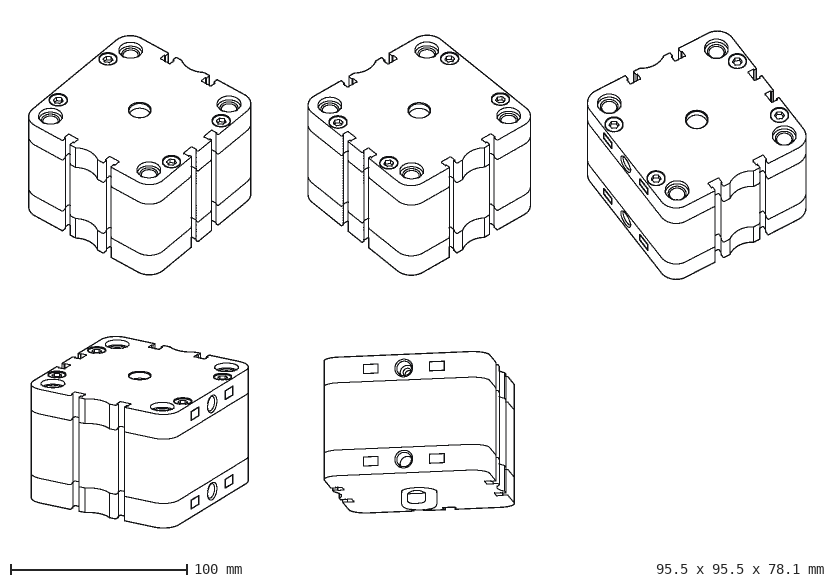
import cadquery as cq
import math

WIDTH = 95.5
CORNER_RADIUS = 10.0
CAP_HEIGHT = 15.0
BARREL_HEIGHT = 39.2
ROD_EXTENSION = 8.9
BARREL_BOTTOM = CAP_HEIGHT
UPPER_CAP_BOTTOM = BARREL_BOTTOM + BARREL_HEIGHT
TOP = UPPER_CAP_BOTTOM + CAP_HEIGHT
HALF_WIDTH = WIDTH / 2
BORE_DIAMETER = 80.0

FACE_SLOT_OFFSET = 15.0
FACE_SLOT_MOUTH = 5.4
FACE_SLOT_LIP = 2.9
FACE_SLOT_WIDTH = 7.1
FACE_SLOT_DEPTH = 6.6

SIDE_SLOT_OFFSET = 9.1
SIDE_SLOT_MOUTH = 5.6
SIDE_SLOT_LIP = 1.6
SIDE_SLOT_WIDTH = 7.2
SIDE_SLOT_DEPTH = 5.4

SLOT_FILLET = 0.4

SCALLOP_WIDTH = 16.0
SCALLOP_DEPTH = 2.7
SCALLOP_RADIUS = (SCALLOP_WIDTH**2 / 4 + SCALLOP_DEPTH**2) / (2 * SCALLOP_DEPTH)
BARREL_SCALLOP_FILLET = 0.7

MOUNT_OFFSET = 36.0
MOUNT_COUNTERBORE_DIAMETER = 13.5
MOUNT_COUNTERBORE_DEPTH = 3.0
MOUNT_CHAMFER_DIAMETER = 10.1
MOUNT_HOLE_DIAMETER = 8.6

SCREW_OFFSET_X = 41.4
SCREW_OFFSET_Y = 22.3
SCREW_RECESS_DIAMETER = 10.3
SCREW_RECESS_DEPTH = 0.8
SCREW_HEAD_DIAMETER = 9.8
SCREW_HEAD_CHAMFER = (SCREW_RECESS_DIAMETER - SCREW_HEAD_DIAMETER) / 2
HEAD_CHAMFER_ANGLE = 45
SOCKET_SIDES = 6
SOCKET_ACROSS_FLATS = 4.8
SOCKET_DEPTH = 2.6
SOCKET_BOTTOM = SCREW_RECESS_DEPTH - SCREW_HEAD_CHAMFER + SOCKET_DEPTH

CENTRE_RECESS_DIAMETER = 12.0
CENTRE_RECESS_RIM = 13.0
CENTRE_RECESS_DEPTH = 4.0

PORT_HEIGHT = 8.0
PORT_RIM = 10.3
PORT_DIAMETER = 8.4
PORT_DEPTH = 11.5
AIR_HOLE_DIAMETER = 5.0
AIR_HOLE_DEPTH = 5.7

LABEL_OFFSET = 19.1
LABEL_EDGE_DISTANCE = 7.6
LABEL_LENGTH = 8.5
LABEL_WIDTH = 5.3
LABEL_DEPTH = 0.3

ROD_DIAMETER = 20.0
ROD_END_FILLET = 1.9
ROD_ACROSS_FLATS = 17.0
ROD_FLAT_LENGTH = 5.8


def t_slot(centre, turn, mouth, lip, width, depth, height):
    """T-slot cutter for the +Y face, `centre` along that face, then turned about Z."""
    neck = cq.Workplane("XY").box(mouth, depth, height, centered=(True, False, False))
    neck = neck.translate((centre, HALF_WIDTH - depth, 0))
    head = cq.Workplane("XY").box(width, depth - lip, height, centered=(True, False, False))
    head = head.edges("|Z and <Y").fillet(SLOT_FILLET)
    head = head.translate((centre, HALF_WIDTH - depth, 0))
    flare_width = mouth + 2 * SLOT_FILLET
    flare = cq.Workplane("XY").box(flare_width, SLOT_FILLET, height, centered=(True, False, False))
    lip_rounds = cq.Workplane("XY").pushPoints([(-flare_width / 2, 0), (flare_width / 2, 0)])
    flare = flare.cut(lip_rounds.circle(SLOT_FILLET).extrude(height))
    flare = flare.translate((centre, HALF_WIDTH - SLOT_FILLET, 0))
    return neck.union(head).union(flare).rotate((0, 0, 0), (0, 0, 1), turn)


def scallop(side, height):
    """Round groove cutter for the front (side = -1) or back (side = 1) face."""
    axis = side * (HALF_WIDTH - SCALLOP_DEPTH + SCALLOP_RADIUS)
    return cq.Workplane("XY").center(0, axis).circle(SCALLOP_RADIUS).extrude(height)


def profile_block(bottom, height, scallop_fillet=0):
    """Length of the common outer profile: rounded square, T-slots and scallops."""
    block = cq.Workplane("XY").rect(WIDTH, WIDTH).extrude(height).edges("|Z").fillet(CORNER_RADIUS)
    for side in (-1, 1):
        block = block.cut(scallop(side, height))
    if scallop_fillet:
        scallop_zone = cq.selectors.BoxSelector((-SCALLOP_WIDTH, -WIDTH, 0), (SCALLOP_WIDTH, WIDTH, height))
        block = block.edges("|Z").edges(scallop_zone).fillet(scallop_fillet)
    for centre in (-FACE_SLOT_OFFSET, FACE_SLOT_OFFSET):
        for turn in (0, 180):
            block = block.cut(t_slot(centre, turn, FACE_SLOT_MOUTH, FACE_SLOT_LIP,
                                     FACE_SLOT_WIDTH, FACE_SLOT_DEPTH, height))
    for centre in (-SIDE_SLOT_OFFSET, SIDE_SLOT_OFFSET):
        block = block.cut(t_slot(centre, -90, SIDE_SLOT_MOUTH, SIDE_SLOT_LIP,
                                 SIDE_SLOT_WIDTH, SIDE_SLOT_DEPTH, height))
    return block.translate((0, 0, bottom))


def chamfered_hole(rim, diameter, depth):
    """Cutter for a hole going down from Z = 0 with a 45 degree chamfer at its mouth."""
    chamfer = (rim - diameter) / 2
    half_section = [
        (0, 0),
        (rim / 2, 0),
        (diameter / 2, -chamfer),
        (diameter / 2, -depth),
        (0, -depth),
    ]
    return cq.Workplane("XZ").polyline(half_section).close().revolve(360, (0, 0, 0), (0, 1, 0))


def port(height):
    """Threaded port cutter entering the -X face at the given height."""
    hole = chamfered_hole(PORT_RIM, PORT_DIAMETER, PORT_DEPTH)
    return hole.rotate((0, 0, 0), (0, 1, 0), -90).translate((-HALF_WIDTH, 0, height))


def label_pockets(height):
    """Pair of label pocket cutters in the -X face at the given height."""
    pockets = cq.Workplane("YZ").pushPoints([(-LABEL_OFFSET, height), (LABEL_OFFSET, height)])
    return pockets.rect(LABEL_LENGTH, LABEL_WIDTH).extrude(LABEL_DEPTH).translate((-HALF_WIDTH, 0, 0))


def mounting_hole():
    """Counterbored hole cutter from the top face down through the upper cap."""
    counterbore = cq.Workplane("XY").circle(MOUNT_COUNTERBORE_DIAMETER / 2).extrude(-MOUNT_COUNTERBORE_DEPTH)
    hole = chamfered_hole(MOUNT_CHAMFER_DIAMETER, MOUNT_HOLE_DIAMETER, CAP_HEIGHT - MOUNT_COUNTERBORE_DEPTH)
    return counterbore.union(hole.translate((0, 0, -MOUNT_COUNTERBORE_DEPTH)))


def screw_recess():
    """Cutter that leaves a sunken, chamfered screw head with a hexagon socket."""
    recess = cq.Workplane("XY").circle(SCREW_RECESS_DIAMETER / 2).extrude(-SCREW_RECESS_DEPTH)
    head = cq.Workplane("XY").workplane(offset=-SCREW_RECESS_DEPTH)
    head = head.circle(SCREW_RECESS_DIAMETER / 2).extrude(SCREW_HEAD_CHAMFER, taper=HEAD_CHAMFER_ANGLE)
    socket_across_corners = SOCKET_ACROSS_FLATS / math.cos(math.pi / SOCKET_SIDES)
    socket = cq.Workplane("XY").polygon(SOCKET_SIDES, socket_across_corners).extrude(-SOCKET_BOTTOM)
    return recess.cut(head).union(socket.rotate((0, 0, 0), (0, 0, 1), 180 / SOCKET_SIDES))


def make_lower_cap():
    cap = profile_block(0, CAP_HEIGHT)
    cap = cap.cut(cq.Workplane("XY").circle(ROD_DIAMETER / 2).extrude(CAP_HEIGHT))
    return cap.cut(port(PORT_HEIGHT)).cut(label_pockets(LABEL_EDGE_DISTANCE))


def make_barrel():
    barrel = profile_block(BARREL_BOTTOM, BARREL_HEIGHT, BARREL_SCALLOP_FILLET)
    bore = cq.Workplane("XY").circle(BORE_DIAMETER / 2).extrude(TOP)
    return barrel.cut(bore)


def make_upper_cap():
    cap = profile_block(UPPER_CAP_BOTTOM, CAP_HEIGHT)
    for side_x in (-1, 1):
        for side_y in (-1, 1):
            cap = cap.cut(mounting_hole().translate((side_x * MOUNT_OFFSET, side_y * MOUNT_OFFSET, TOP)))
            cap = cap.cut(screw_recess().translate((side_x * SCREW_OFFSET_X, side_y * SCREW_OFFSET_Y, TOP)))
    centre_recess = chamfered_hole(CENTRE_RECESS_RIM, CENTRE_RECESS_DIAMETER, CENTRE_RECESS_DEPTH)
    cap = cap.cut(centre_recess.translate((0, 0, TOP)))
    cap = cap.cut(port(TOP - PORT_HEIGHT)).cut(label_pockets(TOP - LABEL_EDGE_DISTANCE))
    air_hole = cq.Workplane("YZ").circle(AIR_HOLE_DIAMETER / 2).extrude(PORT_DEPTH + AIR_HOLE_DEPTH)
    return cap.cut(air_hole.translate((-HALF_WIDTH, 0, TOP - PORT_HEIGHT)))


def make_rod():
    """Rod from the upper cap down through the lower cap, with two wrench flats at its end."""
    rod = cq.Workplane("XY").circle(ROD_DIAMETER / 2).extrude(ROD_EXTENSION + UPPER_CAP_BOTTOM)
    rod = rod.faces("<Z").edges().fillet(ROD_END_FILLET)
    flat = ROD_ACROSS_FLATS / 2
    overhang = ROD_DIAMETER - flat
    flat_section = [
        (flat, 0),
        (flat, ROD_FLAT_LENGTH),
        (flat + overhang, ROD_FLAT_LENGTH + overhang),
        (flat + overhang, 0),
    ]
    flat_cut = cq.Workplane("XZ").polyline(flat_section).close().extrude(ROD_DIAMETER / 2, both=True)
    rod = rod.cut(flat_cut).cut(flat_cut.mirror("YZ"))
    return rod.translate((0, 0, -ROD_EXTENSION))


lower_cap = make_lower_cap()
barrel = make_barrel()
upper_cap = make_upper_cap()
rod = make_rod()

result = cq.Compound.makeCompound([lower_cap.val(), barrel.val(), upper_cap.val(), rod.val()])